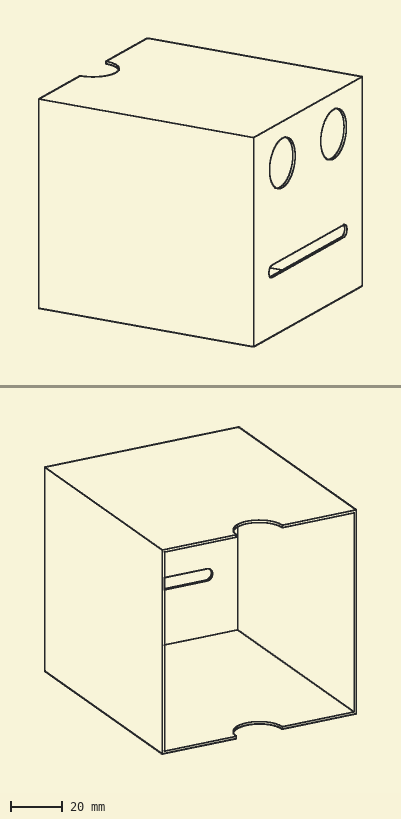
import cadquery as cq

length = 95.0
side = 84.9
wall = 1.0

notch_diameter = 20.0

hole_diameter = 20.0
hole_spacing = 40.0
hole_height = 25.65
slot_length = 61.0
slot_width = 5.0
slot_height = -16.0


def make_shell():
    outer = cq.Workplane("XY").box(length, side, side)
    return outer.faces("<X").shell(-wall)


def cut_finger_notches(body):
    notch = (
        cq.Workplane("XY")
        .center(-length / 2, 0)
        .circle(notch_diameter / 2)
        .extrude(side, both=True)
    )
    return body.cut(notch)


def cut_end_openings(body):
    """Cut two round holes and a horizontal slot through the +X wall."""
    holes = (
        cq.Workplane("YZ")
        .pushPoints([(sign * hole_spacing / 2, hole_height) for sign in (-1, 1)])
        .circle(hole_diameter / 2)
        .extrude(length)
    )
    slot = (
        cq.Workplane("YZ")
        .center(0, slot_height)
        .slot2D(slot_length, slot_width)
        .extrude(length)
    )
    return body.cut(holes).cut(slot)


result = cut_end_openings(cut_finger_notches(make_shell()))